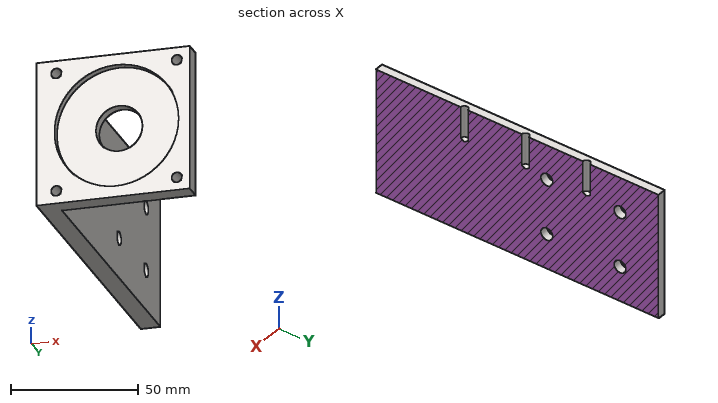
import cadquery as cq
import math

width = 63.0
length = 139.0
height = 60.0
thickness = 8.0
mid_height = height / 2

motor_center_x = 33.0
bore_diameter = 19.0
recess_diameter = 51.0
recess_depth = 3.5
motor_hole_diameter = 4.2
motor_hole_spacing = 49.5
motor_hole_depth = thickness

side_hole_diameter = 5.5
side_hole_spacing_y = 36.0
side_hole_spacing_z = 26.4
side_holes_center_y = 102.0

edge_hole_diameter = 3.5
edge_hole_depth = 15.0
edge_hole_pitch = 30.0
edge_hole_count = 3
edge_holes_center_y = 73.5

drill_point_angle = 118.0


def drill(start, direction, diameter, depth):
    """Cutter for a drilled hole: a cylinder of the given depth ending in a conical point."""
    radius = diameter / 2
    point_length = radius / math.tan(math.radians(drill_point_angle / 2))
    origin = cq.Vector(*start)
    axis = cq.Vector(*direction)
    shank = cq.Solid.makeCylinder(radius, depth, origin, axis)
    point = cq.Solid.makeCone(radius, 0, point_length, origin + axis * depth, axis)
    return cq.Workplane(shank.fuse(point))


def make_legs():
    """L-shaped body with both legs of equal thickness."""
    outline = [
        (0, 0),
        (width, 0),
        (width, thickness),
        (thickness, thickness),
        (thickness, length),
        (0, length),
    ]
    return cq.Workplane("XY").polyline(outline).close().extrude(height)


def cut_motor_seat(body):
    """Round recess and concentric through bore in the front face."""
    face = cq.Workplane("XZ").center(motor_center_x, mid_height)
    recess = face.circle(recess_diameter / 2).extrude(-recess_depth)
    bore = face.circle(bore_diameter / 2).extrude(-thickness)
    return body.cut(recess).cut(bore)


def cut_motor_holes(body):
    """Four drilled corner holes; the drill points nick the inner face of the long leg."""
    offset = motor_hole_spacing / 2
    for x in (motor_center_x - offset, motor_center_x + offset):
        for z in (mid_height - offset, mid_height + offset):
            body = body.cut(drill((x, 0, z), (0, 1, 0), motor_hole_diameter, motor_hole_depth))
    return body


def cut_side_holes(body):
    """Rectangular pattern of four through holes in the long leg."""
    holes = (
        cq.Workplane("YZ")
        .center(side_holes_center_y, mid_height)
        .rect(side_hole_spacing_y, side_hole_spacing_z, forConstruction=True)
        .vertices()
        .circle(side_hole_diameter / 2)
        .extrude(thickness)
    )
    return body.cut(holes)


def cut_edge_holes(body):
    """Row of blind drilled holes along the middle of the long leg's top edge."""
    first_y = edge_holes_center_y - edge_hole_pitch * (edge_hole_count - 1) / 2
    for index in range(edge_hole_count):
        start = (thickness / 2, first_y + index * edge_hole_pitch, height)
        body = body.cut(drill(start, (0, 0, -1), edge_hole_diameter, edge_hole_depth))
    return body


result = make_legs()
result = cut_motor_seat(result)
result = cut_motor_holes(result)
result = cut_side_holes(result)
result = cut_edge_holes(result)